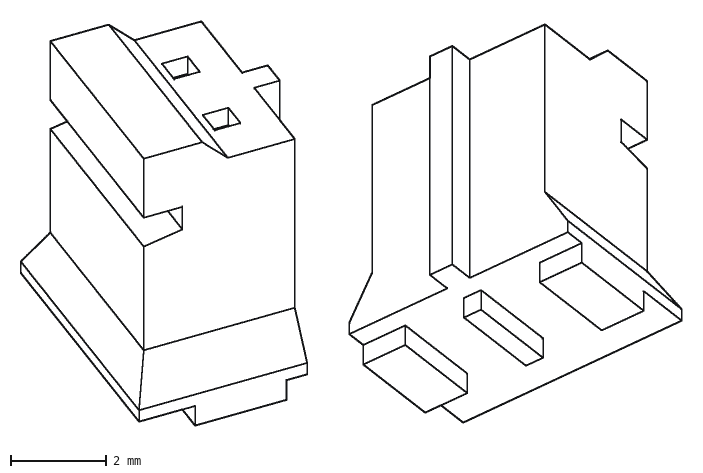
import cadquery as cq

height = 6.85
foot_height = 0.515
flange_edge_top = 0.815
flange_top = 1.85
shoulder_height = 6.255

body_width = 4.59
body_depth = 3.51
lip_land = 1.355
lip_slope = height - shoulder_height

flange_width = 5.8
flange_front_overhang = 0.4

slot_depth = 0.9
slot_top = 5.31
slot_inner_bottom = 4.72
slot_outer_bottom = 4.555

rail_width = 0.595
rail_depth = 0.595

hole_size = 0.595
hole_pitch = 2.0
hole_center_y = -1.09
hole_depth = 0.45

foot_back_y = -0.48
foot_length = 2.125
end_foot_width = 1.115
middle_foot_width = 0.45


def box(width, y_front, y_back, z_bottom, z_top, center_x=0.0):
    """Box centred on center_x between the given y and z limits."""
    return (
        cq.Workplane("XY", origin=(center_x, (y_front + y_back) / 2, z_bottom))
        .rect(width, y_back - y_front)
        .extrude(z_top - z_bottom)
    )


def make_body():
    """Side profile with the raised lip and latch slot, extruded along X."""
    front = -body_depth
    slot_back = front + slot_depth
    lip_back = front + lip_land
    profile = [
        (0, foot_height),
        (front, foot_height),
        (front, slot_outer_bottom),
        (slot_back, slot_inner_bottom),
        (slot_back, slot_top),
        (front, slot_top),
        (front, height),
        (lip_back, height),
        (lip_back + lip_slope, shoulder_height),
        (0, shoulder_height),
    ]
    return cq.Workplane("YZ").polyline(profile).close().extrude(body_width / 2, both=True)


def make_flange():
    """Straight edge band, then a taper up to the body; the back stays flat."""
    flange_front = -body_depth - flange_front_overhang
    band = box(flange_width, flange_front, 0, foot_height, flange_edge_top)
    taper = (
        cq.Workplane("XY", origin=(0, flange_front / 2, flange_edge_top))
        .rect(flange_width, -flange_front)
        .workplane(offset=flange_top - flange_edge_top)
        .center(0, flange_front_overhang / 2)
        .rect(body_width, body_depth)
        .loft(ruled=True)
    )
    return band.union(taper)


result = make_body().union(make_flange())
result = result.union(box(rail_width, 0, rail_depth, foot_height, shoulder_height))

end_foot_x = (flange_width - end_foot_width) / 2
for foot_x, foot_width in (
    (-end_foot_x, end_foot_width),
    (0, middle_foot_width),
    (end_foot_x, end_foot_width),
):
    foot_front_y = foot_back_y - foot_length
    result = result.union(box(foot_width, foot_front_y, foot_back_y, 0, flange_edge_top, foot_x))

for hole_x in (-hole_pitch / 2, hole_pitch / 2):
    hole_front_y = hole_center_y - hole_size / 2
    hole_back_y = hole_center_y + hole_size / 2
    result = result.cut(
        box(hole_size, hole_front_y, hole_back_y, shoulder_height - hole_depth, shoulder_height, hole_x)
    )